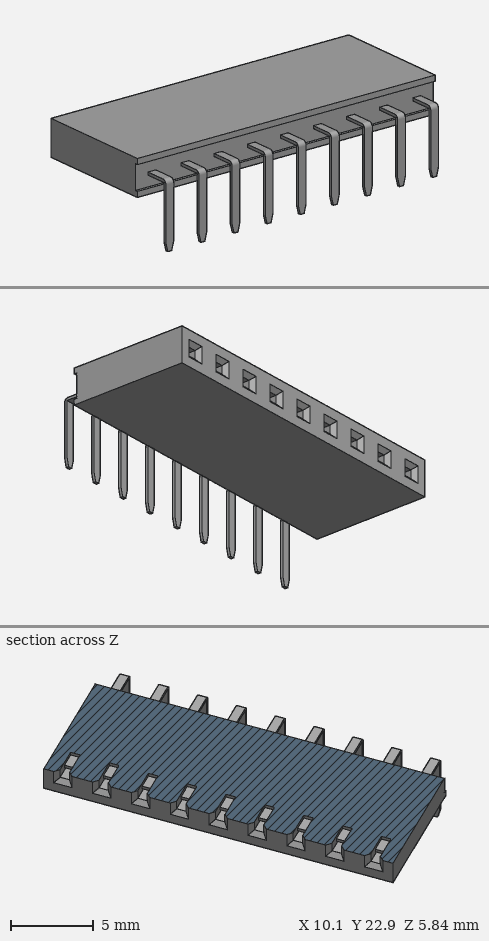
import cadquery as cq

contact_count = 9
pitch = 2.54

housing_depth = 8.55
housing_height = pitch
housing_length = contact_count * pitch
recess_depth = 0.2
lip_height = 0.4

mouth_size = 1.2
mouth_depth = 0.3
hole_size = 0.6
hole_depth = 2.0

strip_width = hole_size
strip_thickness = 0.2
bend_radius = 0.3
leg_back_x = 10.13
leg_drop = 3.3
tip_width = 0.3
tip_length = 0.6
strip_start_x = 1.0

strip_z = housing_height / 2
leg_front_x = leg_back_x - strip_thickness
strip_top_z = strip_z + strip_thickness / 2
strip_bottom_z = strip_z - strip_thickness / 2


def make_housing():
    """Block with a full-length recess along its rear face, leaving a lip at top and bottom."""
    block = cq.Workplane("XY").box(
        housing_depth, housing_length, housing_height, centered=(False, True, False)
    )
    recess = (
        cq.Workplane("XY")
        .box(
            recess_depth,
            housing_length,
            housing_height - 2 * lip_height,
            centered=(False, True, False),
        )
        .translate((housing_depth - recess_depth, 0, lip_height))
    )
    return block.cut(recess)


def make_socket(y):
    """Cutting volume of one socket: tapered mouth followed by a blind square hole."""
    mouth = (
        cq.Workplane("YZ", origin=(0, y, strip_z))
        .rect(mouth_size, mouth_size)
        .workplane(offset=mouth_depth)
        .rect(hole_size, hole_size)
        .loft(ruled=True)
    )
    hole = cq.Workplane("YZ", origin=(0, y, strip_z)).rect(hole_size, hole_size).extrude(hole_depth)
    return mouth.union(hole)


def make_contact(y):
    """Strip from inside the socket, out of the rear face, rounded over the bend and down to a tapered tip."""
    strip = (
        cq.Workplane("XZ", origin=(0, y, 0))
        .moveTo(strip_start_x, strip_top_z)
        .lineTo(leg_back_x - bend_radius, strip_top_z)
        .radiusArc((leg_back_x, strip_top_z - bend_radius), bend_radius)
        .lineTo(leg_back_x, -leg_drop)
        .lineTo(leg_front_x, -leg_drop)
        .lineTo(leg_front_x, strip_bottom_z)
        .lineTo(strip_start_x, strip_bottom_z)
        .close()
        .extrude(strip_width / 2, both=True)
    )
    tip_inset = (strip_width - tip_width) / 2
    return strip.faces("<Z").edges("|X").chamfer(tip_length, tip_inset)


result = make_housing()
for index in range(contact_count):
    contact_y = (index - (contact_count - 1) / 2) * pitch
    result = result.cut(make_socket(contact_y)).union(make_contact(contact_y))